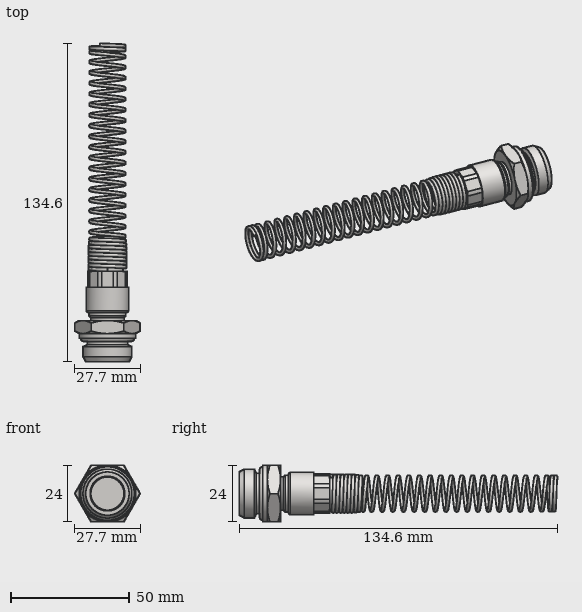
import cadquery as cq
import math


LEAD_CHAMFER_END = 2.3
THREAD_END = 6.5
GROOVE_START = 7.3
FLANGE_START = 10.0
HEX_START = 12.0
HEX_END = 17.5
NECK_END = 18.7
COLLAR_START = 19.5
CAP_START = 20.7

NOSE_RADIUS = 9.2
THREAD_RADIUS = 10.4
GROOVE_RADIUS = 8.6
HEX_ACROSS_FLATS = 24.0
FLANGE_RADIUS = HEX_ACROSS_FLATS / 2
NECK_RADIUS = 7.1
COLLAR_RADIUS = 7.8
HEX_CORNER_RADIUS = FLANGE_RADIUS / math.cos(math.pi / 6)
HEX_CHAMFER_ANGLE = math.radians(30)
BORE_RADIUS = 7.0
BORE_DEPTH = 2.0
BORE_CHAMFER = 0.34

RING_WIRE_RADIUS = 1.3
RING_MEAN_RADIUS = GROOVE_RADIUS + RING_WIRE_RADIUS

CAP_RADIUS = 9.0
CAP_CHAMFER = 0.8
OCTAGON_START = 31.6
OCTAGON_END = 38.2
OCTAGON_ACROSS_FLATS = 16.5
OCTAGON_CORNER_RADIUS = 8.6
CORE_CLEARANCE = 0.07

SPRING_END = 134.6
WIRE_RADIUS = 0.74
SEATED_OUTER_RADIUS = 8.2
FREE_OUTER_RADIUS = 7.8
COIL_GAP = 0.08
SEATED_TURNS = 6.0
NARROWING_TURNS = 2.1
OPENING_TURNS = 1.3
OPEN_TURNS = 16.3
CLOSING_TURNS = 1.0
FULL_TURNS = 28
END_ANGLE = 25.0
START_ANGLE = 90.0
POINTS_PER_TURN = 12

CLOSED_PITCH = 2 * WIRE_RADIUS + COIL_GAP
TOTAL_TURNS = FULL_TURNS + END_ANGLE / 360
SPRING_START = OCTAGON_END + WIRE_RADIUS
SEATED_MEAN_RADIUS = SEATED_OUTER_RADIUS - WIRE_RADIUS
FREE_MEAN_RADIUS = FREE_OUTER_RADIUS - WIRE_RADIUS
OPENING_START = SEATED_TURNS + NARROWING_TURNS
CLOSING_START = OPENING_START + OPENING_TURNS + OPEN_TURNS
WIRE_RISE = SPRING_END - WIRE_RADIUS - SPRING_START
WEIGHTED_OPEN_TURNS = OPEN_TURNS + (OPENING_TURNS + CLOSING_TURNS) / 2
PITCH_INCREASE = (WIRE_RISE - CLOSED_PITCH * TOTAL_TURNS) / WEIGHTED_OPEN_TURNS


def revolve_about_y(outline):
    """Turn a closed (radius, y) outline, drawn in the plane x = 0, about the Y axis."""
    outline_plane = cq.Plane(origin=(0, 0, 0), xDir=(0, 0, 1), normal=(-1, 0, 0))
    return cq.Workplane(outline_plane).polyline(outline).close().revolve(360, (0, 0, 0), (0, 1, 0))


def prism_along_y(sides, across_flats, start, end):
    """Regular prism along Y with two flats square to Z."""
    corner_diameter = across_flats / math.cos(math.pi / sides)
    return (
        cq.Workplane("XZ", origin=(0, start, 0))
        .transformed(rotate=(0, 0, 90 - 180 / sides))
        .polygon(sides, corner_diameter)
        .extrude(start - end)
    )


def make_hex():
    """Hexagon with its corners chamfered at both ends."""
    drop = (HEX_CORNER_RADIUS - FLANGE_RADIUS) * math.tan(HEX_CHAMFER_ANGLE)
    chamfer_envelope = revolve_about_y([
        (0, HEX_START),
        (FLANGE_RADIUS, HEX_START),
        (HEX_CORNER_RADIUS, HEX_START + drop),
        (HEX_CORNER_RADIUS, HEX_END - drop),
        (FLANGE_RADIUS, HEX_END),
        (0, HEX_END),
    ])
    return prism_along_y(6, HEX_ACROSS_FLATS, HEX_START, HEX_END).intersect(chamfer_envelope)


def make_sealing_ring():
    return (
        cq.Workplane("XY")
        .center(RING_MEAN_RADIUS, FLANGE_START)
        .circle(RING_WIRE_RADIUS)
        .revolve(360, (-RING_MEAN_RADIUS, 0, 0), (-RING_MEAN_RADIUS, 1, 0))
    )


def make_fitting(sealing_ring):
    """Turned body with a hexagon, a shallow bore and a seat for the sealing ring."""
    turned = revolve_about_y([
        (0, BORE_DEPTH),
        (BORE_RADIUS, BORE_DEPTH),
        (BORE_RADIUS, BORE_CHAMFER),
        (BORE_RADIUS + BORE_CHAMFER, 0),
        (NOSE_RADIUS, 0),
        (THREAD_RADIUS, LEAD_CHAMFER_END),
        (THREAD_RADIUS, THREAD_END),
        (GROOVE_RADIUS, GROOVE_START),
        (GROOVE_RADIUS, FLANGE_START),
        (FLANGE_RADIUS, FLANGE_START),
        (FLANGE_RADIUS, HEX_START),
        (NECK_RADIUS, HEX_START),
        (NECK_RADIUS, NECK_END),
        (COLLAR_RADIUS, COLLAR_START),
        (COLLAR_RADIUS, CAP_START),
        (0, CAP_START),
    ])
    return turned.union(make_hex()).cut(sealing_ring)


def make_cap():
    """Sleeve, round-cornered octagon and the core that carries the seated turns."""
    sleeve = revolve_about_y([
        (0, CAP_START),
        (CAP_RADIUS - CAP_CHAMFER, CAP_START),
        (CAP_RADIUS, CAP_START + CAP_CHAMFER),
        (CAP_RADIUS, OCTAGON_START),
        (0, OCTAGON_START),
    ])
    corner_rounding = (
        cq.Workplane("XZ", origin=(0, OCTAGON_START, 0))
        .circle(OCTAGON_CORNER_RADIUS)
        .extrude(OCTAGON_START - OCTAGON_END)
    )
    octagon = prism_along_y(8, OCTAGON_ACROSS_FLATS, OCTAGON_START, OCTAGON_END)
    core_length = WIRE_RADIUS + CLOSED_PITCH * SEATED_TURNS
    core = (
        cq.Workplane("XZ", origin=(0, OCTAGON_END, 0))
        .circle(SEATED_MEAN_RADIUS - WIRE_RADIUS - CORE_CLEARANCE)
        .extrude(-core_length)
    )
    return sleeve.union(octagon.intersect(corner_rounding)).union(core)


def ramp_integral(turns, ramp_start, ramp_turns):
    """Integral over the turns of a step that rises linearly from 0 to 1."""
    past = turns - ramp_start
    if past <= 0:
        return 0.0
    if past < ramp_turns:
        return past ** 2 / (2 * ramp_turns)
    return past - ramp_turns / 2


def wire_centre(turns):
    """Centre of the wire after a number of turns of the left-handed coil."""
    open_turns = ramp_integral(turns, OPENING_START, OPENING_TURNS)
    open_turns -= ramp_integral(turns, CLOSING_START, CLOSING_TURNS)
    y = SPRING_START + CLOSED_PITCH * turns + PITCH_INCREASE * open_turns
    narrowed = min(max((turns - SEATED_TURNS) / NARROWING_TURNS, 0.0), 1.0)
    radius = SEATED_MEAN_RADIUS + (FREE_MEAN_RADIUS - SEATED_MEAN_RADIUS) * narrowed
    angle = math.radians(START_ANGLE + 360 * turns)
    return cq.Vector(radius * math.cos(angle), y, radius * math.sin(angle))


def make_spring():
    """Round wire swept along the coil, with square-cut ends."""
    steps = round(TOTAL_TURNS * POINTS_PER_TURN)
    centres = [wire_centre(TOTAL_TURNS * i / steps) for i in range(steps + 1)]
    path = cq.Edge.makeSpline(centres)
    start_plane = cq.Plane(origin=centres[0], normal=path.tangentAt(0))
    return cq.Workplane(start_plane).circle(WIRE_RADIUS).sweep(cq.Workplane(path), isFrenet=True)


sealing_ring = make_sealing_ring()
fitting = make_fitting(sealing_ring)
cap = make_cap()
spring = make_spring()

result = cq.Compound.makeCompound([fitting.val(), sealing_ring.val(), cap.val(), spring.val()])